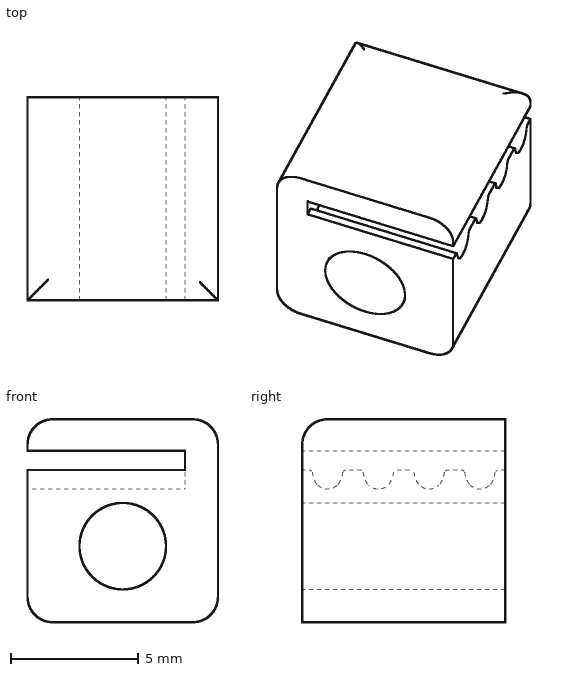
import cadquery as cq
import math

width = 7.5
depth = 8.0
height = 8.0
edge_radius = 1.0

bore_diameter = 3.4
bore_height = 3.0

slot_length = 6.2
slot_floor = 6.0
slot_height = 0.75

groove_count = 4
groove_pitch = depth / groove_count
groove_depth = 0.75
tip_radius = 0.55
flank_radius = 1.0
flank_offset = 0.4
lip_radius = 0.15


def make_block():
    """Block with rounded long edges and a rounded top front edge."""
    block = (
        cq.Workplane("XY")
        .box(width, depth, height, centered=(True, False, False))
        .edges("|Y")
        .fillet(edge_radius)
    )
    front_rounding = (
        cq.Workplane("XY")
        .box(width, depth, height, centered=(True, False, False))
        .edges("<Y and >Z")
        .fillet(edge_radius)
    )
    return block.intersect(front_rounding)


def make_bore():
    return (
        cq.Workplane("XZ")
        .center(0, bore_height)
        .circle(bore_diameter / 2)
        .extrude(-depth)
    )


def make_slot():
    return cq.Workplane("XY").box(
        slot_length, depth, slot_height, centered=False
    ).translate((-width / 2, 0, slot_floor))


def make_groove(center_y):
    """Tooth groove whose tip, flank and lip arcs are tangent to each other."""
    bottom = slot_floor - groove_depth
    tip_z = bottom + tip_radius
    flank_z = tip_z + math.sqrt((flank_radius - tip_radius) ** 2 - flank_offset ** 2)
    lip_z = slot_floor - lip_radius
    center_distance = flank_radius + lip_radius
    lip_y = math.sqrt(center_distance ** 2 - (flank_z - lip_z) ** 2) - flank_offset

    tip_angle = math.atan2(tip_z - flank_z, flank_offset)
    lip_angle = math.atan2(lip_z - flank_z, lip_y + flank_offset)

    def flank_point(angle):
        y = flank_radius * math.cos(angle) - flank_offset
        z = flank_z + flank_radius * math.sin(angle)
        return y, z

    def mirrored(point):
        return -point[0], point[1]

    lip_mid_angle = (math.pi / 2 + math.pi + lip_angle) / 2
    lip_start = (lip_y, slot_floor)
    lip_middle = (
        lip_y + lip_radius * math.cos(lip_mid_angle),
        lip_z + lip_radius * math.sin(lip_mid_angle),
    )
    lip_end = flank_point(lip_angle)
    flank_middle = flank_point((lip_angle + tip_angle) / 2)
    flank_end = flank_point(tip_angle)

    return (
        cq.Workplane("YZ", origin=(-width / 2, center_y, 0))
        .moveTo(*lip_start)
        .threePointArc(lip_middle, lip_end)
        .threePointArc(flank_middle, flank_end)
        .threePointArc((0, bottom), mirrored(flank_end))
        .threePointArc(mirrored(flank_middle), mirrored(lip_end))
        .threePointArc(mirrored(lip_middle), mirrored(lip_start))
        .close()
        .extrude(slot_length)
    )


result = make_block().cut(make_bore()).cut(make_slot())
for index in range(groove_count):
    result = result.cut(make_groove((index + 0.5) * groove_pitch))